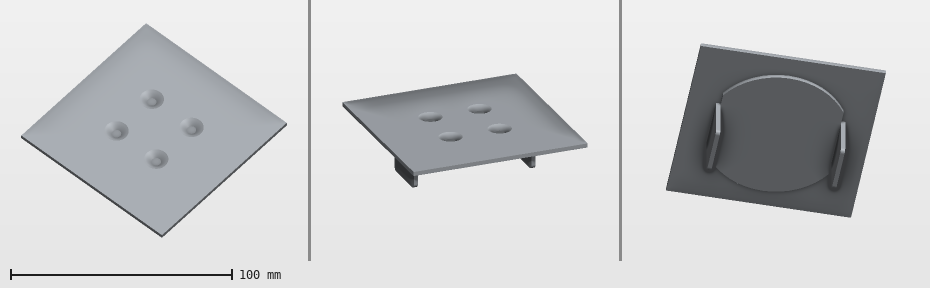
import cadquery as cq

plate_side = 85.0
plate_thickness = 2.0

pad_diameter = 66.0
pad_thickness = 2.0

tab_width = 23.0
tab_height = 21.0
tab_thickness = 2.0
tab_outer_span = 59.4
tab_corner_radius = 2.0
tab_inner_span = tab_outer_span - 2 * tab_thickness

seat_spacing = 24.0
seat_top_diameter = 11.0
seat_bottom_diameter = 4.3
seat_depth = 2.0


def make_plate():
    """Square plate with its underside at Z = 0."""
    return cq.Workplane("XY").box(
        plate_side, plate_side, plate_thickness, centered=(True, True, False)
    )


def make_pad():
    """Disc below the plate, trimmed to the gap between the tabs."""
    disc = cq.Workplane("XY").circle(pad_diameter / 2).extrude(-pad_thickness)
    gap = cq.Workplane("XY").rect(pad_diameter, tab_inner_span).extrude(-pad_thickness)
    return disc.intersect(gap)


def make_tab(side):
    """Tab on the -Y (side = -1) or +Y (side = 1) edge of the pad, lower corners rounded."""
    center_y = side * (tab_outer_span - tab_thickness) / 2
    return (
        cq.Workplane("XY")
        .center(0, center_y)
        .rect(tab_width, tab_thickness)
        .extrude(-tab_height)
        .faces("<Z")
        .edges("|Y")
        .fillet(tab_corner_radius)
    )


def make_screw_seats():
    """Four cones that narrow downward from the top face of the plate."""
    return (
        cq.Workplane("XY")
        .workplane(offset=plate_thickness - seat_depth)
        .rect(seat_spacing, seat_spacing, forConstruction=True)
        .vertices()
        .eachpoint(
            cq.Solid.makeCone(seat_bottom_diameter / 2, seat_top_diameter / 2, seat_depth),
            useLocalCoordinates=True,
        )
    )


result = make_plate().union(make_pad())
for tab_side in (-1, 1):
    result = result.union(make_tab(tab_side))
result = result.cut(make_screw_seats())